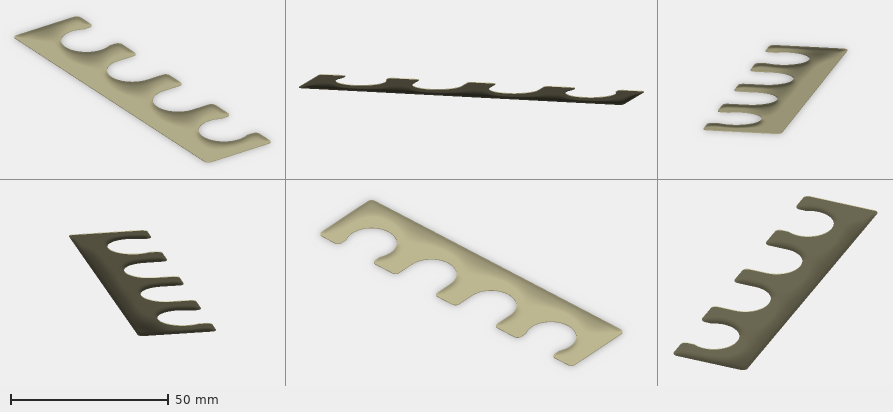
import cadquery as cq
import math

length = 107.7
width = 25.4
thickness = 0.25
corner_radius = 1.6

notch_pitch = 25.4
notch_radius = 8.1
notch_center_depth = 7.75
throat_width = 14.2

top_y = width / 2
notch_y = top_y - notch_center_depth
inner_notch_x = notch_pitch / 2
outer_notch_x = inner_notch_x + notch_pitch


def notch_cutter(center_x, mouth_width):
    """Round seat with a straight mouth running up to the +Y edge."""
    half_mouth = mouth_width / 2
    wall_end_y = notch_y + math.sqrt(notch_radius**2 - half_mouth**2)
    return (
        cq.Workplane("XY")
        .moveTo(center_x - half_mouth, top_y)
        .lineTo(center_x - half_mouth, wall_end_y)
        .threePointArc((center_x, notch_y - notch_radius), (center_x + half_mouth, wall_end_y))
        .lineTo(center_x + half_mouth, top_y)
        .close()
        .extrude(thickness)
    )


def notched_plate():
    """Rectangular plate with U-shaped inner notches and snap-in outer notches."""
    plate = cq.Workplane("XY").box(length, width, thickness, centered=(True, True, False))
    for side in (-1, 1):
        plate = plate.cut(notch_cutter(side * inner_notch_x, 2 * notch_radius))
        plate = plate.cut(notch_cutter(side * outer_notch_x, throat_width))
    return plate


def round_corners(plate):
    """Round every corner lying on the two long edges of the plate."""
    plate = plate.faces(">Y").edges("|Z").fillet(corner_radius)
    return plate.faces("<Y").edges("|Z").fillet(corner_radius)


result = round_corners(notched_plate())